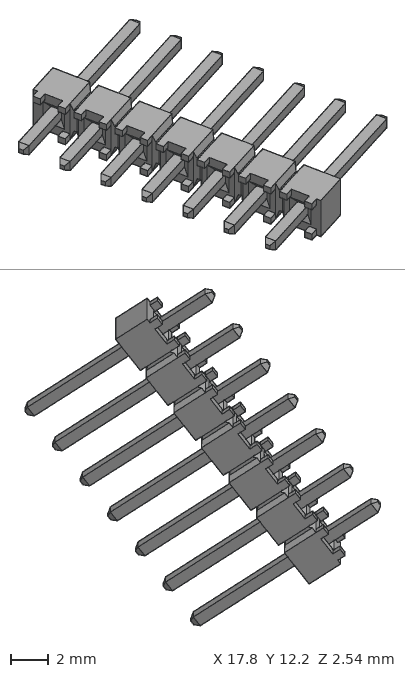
import cadquery as cq

PIN_COUNT = 7
PITCH = 2.54
ROW_LENGTH = PIN_COUNT * PITCH

BODY_DEPTH = 2.06
BODY_HEIGHT = PITCH

GROOVE_WIDTH = 0.53
GROOVE_FLOOR_WIDTH = 0.25
GROOVE_DEPTH = 0.52
NOTCH_DEPTH = GROOVE_WIDTH / 2

FOOT_WIDTH = 0.46
FOOT_HEIGHT = 0.42
FOOT_LENGTH = 0.48
FOOT_SPACING = PITCH - GROOVE_WIDTH - FOOT_WIDTH

PIN_SIDE = 0.64
PIN_LENGTH = 12.19
PIN_FRONT_LENGTH = 3.41
TIP_SIDE = 0.28
TIP_LENGTH = 0.30

FUNNEL_SIDE = 1.35
FUNNEL_FLOOR_SIDE = PIN_SIDE
FUNNEL_DEPTH = 0.25

PIN_POSITIONS = [(i - (PIN_COUNT - 1) / 2) * PITCH for i in range(PIN_COUNT)]
GROOVE_POSITIONS = [x + PITCH / 2 for x in PIN_POSITIONS[:-1]]


def square_frustum(x, y_start, side_start, y_end, side_end):
    """Square section centred on the pin axis at x, tapering from y_start to y_end."""
    return (
        cq.Workplane("XZ", origin=(x, y_start, 0))
        .rect(side_start, side_start)
        .workplane(offset=y_start - y_end)
        .rect(side_end, side_end)
        .loft(ruled=True)
    )


def box_between(x, y_start, y_end, z, width, height):
    """Box centred on x and z that runs from y_start to y_end."""
    length = y_end - y_start
    return cq.Workplane("XY").box(width, length, height).translate((x, (y_start + y_end) / 2, z))


def top_groove(x):
    """Trapezoidal groove along Y in the top face."""
    top = BODY_HEIGHT / 2
    floor = top - GROOVE_DEPTH
    return (
        cq.Workplane("XZ")
        .polyline([
            (x - GROOVE_WIDTH / 2, top),
            (x + GROOVE_WIDTH / 2, top),
            (x + GROOVE_FLOOR_WIDTH / 2, floor),
            (x - GROOVE_FLOOR_WIDTH / 2, floor),
        ])
        .close()
        .extrude(-BODY_DEPTH)
    )


def front_notch(x):
    """Vertical V notch in the front face."""
    return (
        cq.Workplane("XY", origin=(0, 0, -BODY_HEIGHT / 2))
        .polyline([(x - GROOVE_WIDTH / 2, 0), (x + GROOVE_WIDTH / 2, 0), (x, NOTCH_DEPTH)])
        .close()
        .extrude(BODY_HEIGHT)
    )


def make_body():
    """Body with grooves on all four sides between blocks, and a funnel at each pin."""
    body = box_between(0, 0, BODY_DEPTH, 0, ROW_LENGTH, BODY_HEIGHT)
    for x in GROOVE_POSITIONS:
        groove = top_groove(x)
        notch = front_notch(x)
        body = body.cut(groove).cut(groove.mirror("XY"))
        body = body.cut(notch).cut(notch.mirror("XZ").translate((0, BODY_DEPTH, 0)))
    for x in PIN_POSITIONS:
        body = body.cut(square_frustum(x, 0, FUNNEL_SIDE, FUNNEL_DEPTH, FUNNEL_FLOOR_SIDE))
    return body


def add_feet(body):
    """Add four standoff feet to the front face of each block."""
    foot_z = (BODY_HEIGHT - FOOT_HEIGHT) / 2
    for pin_x in PIN_POSITIONS:
        for x in (pin_x - FOOT_SPACING / 2, pin_x + FOOT_SPACING / 2):
            for z in (-foot_z, foot_z):
                body = body.union(box_between(x, -FOOT_LENGTH, 0, z, FOOT_WIDTH, FOOT_HEIGHT))
    return body


def make_pin(x):
    """Square pin through the body, tapered at both ends."""
    front = -PIN_FRONT_LENGTH
    rear = front + PIN_LENGTH
    shank_front = front + TIP_LENGTH
    shank_rear = rear - TIP_LENGTH
    shank = box_between(x, shank_front, shank_rear, 0, PIN_SIDE, PIN_SIDE)
    front_tip = square_frustum(x, shank_front, PIN_SIDE, front, TIP_SIDE)
    rear_tip = square_frustum(x, shank_rear, PIN_SIDE, rear, TIP_SIDE)
    return shank.union(front_tip).union(rear_tip)


result = add_feet(make_body())
for pin_position in PIN_POSITIONS:
    result = result.union(make_pin(pin_position))